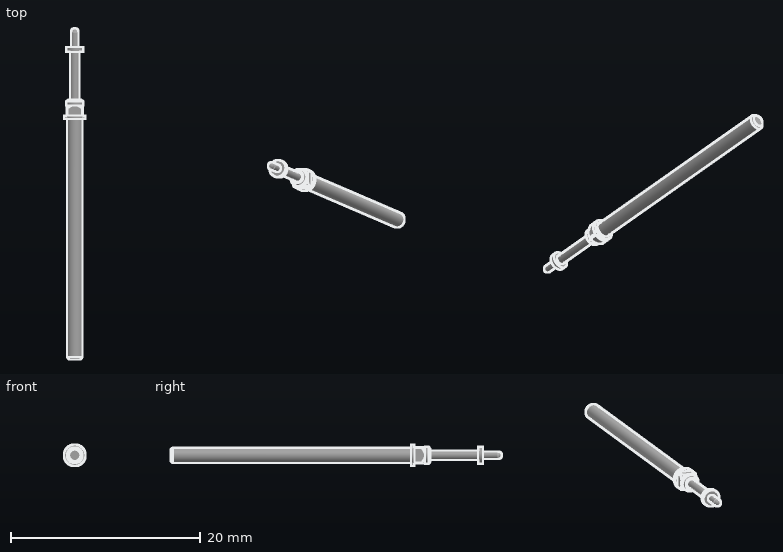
import cadquery as cq

total_length = 35.0

collar_start = 2.0
collar_thickness = 0.52
head_start = 7.52
head_cone_length = 0.2
flare_start = 8.15
flare_length = 0.28
flange_start = 9.25
flange_thickness = 0.35

tip_diameter = 0.8
collar_diameter = 1.82
shaft_diameter = 1.0
head_cone_diameter = 1.25
head_diameter = 1.82
flange_diameter = 2.3
barrel_diameter = 1.65

width_across_flats = 1.75
square_corner_diameter = 2.3

end_chamfer_length = 0.25
end_chamfer_depth = 0.2


def turned_section(start, length, start_diameter, end_diameter=None):
    """Cylinder or cone on the pin axis; start is measured from the plunger tip."""
    start_radius = start_diameter / 2
    end_radius = (end_diameter or start_diameter) / 2
    front_center = cq.Vector(0, total_length - start, 0)
    toward_back = cq.Vector(0, -1, 0)
    if start_radius == end_radius:
        solid = cq.Solid.makeCylinder(start_radius, length, front_center, toward_back)
    else:
        solid = cq.Solid.makeCone(start_radius, end_radius, length, front_center, toward_back)
    return cq.Workplane(obj=solid)


def plunger():
    """Domed tip, stop collar and slim shaft."""
    dome_radius = tip_diameter / 2
    dome = cq.Workplane("XY").sphere(dome_radius).translate((0, total_length - dome_radius, 0))
    neck = turned_section(dome_radius, collar_start - dome_radius, tip_diameter)
    collar = turned_section(collar_start, collar_thickness, collar_diameter)
    shaft = turned_section(collar_start, head_start - collar_start, shaft_diameter)
    return dome.union(neck).union(collar).union(shaft)


def head():
    """Round head that flares out into four flats in front of the flange."""
    cone_end = head_start + head_cone_length
    flare_end = flare_start + flare_length
    cone = turned_section(head_start, head_cone_length, head_cone_diameter, head_diameter)
    round_part = turned_section(cone_end, flare_start - cone_end, head_diameter)
    flare = turned_section(flare_start, flare_length, head_diameter, square_corner_diameter)
    corners = turned_section(flare_end, flange_start - flare_end, square_corner_diameter)
    square_length = flange_start - flare_start
    square = cq.Workplane("XY").box(width_across_flats, square_length, width_across_flats)
    square = square.translate((0, total_length - flare_start - square_length / 2, 0))
    return cone.union(round_part).union(flare.union(corners).intersect(square))


def barrel():
    """Flange and long barrel with a chamfered back end."""
    flange = turned_section(flange_start, flange_thickness, flange_diameter)
    chamfer_start = total_length - end_chamfer_length
    tube = turned_section(flange_start, chamfer_start - flange_start, barrel_diameter)
    end_diameter = barrel_diameter - 2 * end_chamfer_depth
    end = turned_section(chamfer_start, end_chamfer_length, barrel_diameter, end_diameter)
    return flange.union(tube).union(end)


result = plunger().union(head()).union(barrel())